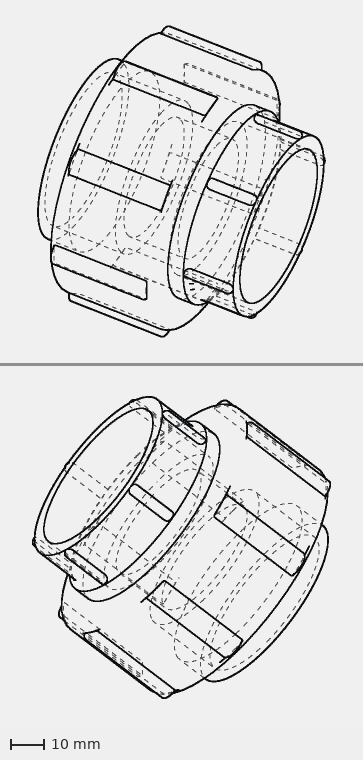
import cadquery as cq
import math

total_length = 67.0
nut_start = 10.6
nut_length = 35.1
nut_end = nut_start + nut_length
collar_end = 51.0

pipe_diameter = 58.6
collar_diameter = 62.9
nut_diameter = 84.2
socket_diameter = 50.0
bore_diameter = 39.0

socket_depth = 24.2

nut_edge_radius = 1.6
collar_root_radius = 2.0

grip_count = 8
grip_radius = 4.6
grip_tip_diameter = 88.96
grip_margin = 1.65
grip_end_radius = 0.5

pin_count = 6
pin_radius = 1.75
pin_tip_diameter = 62.2
pin_end_radius = 1.5


def cylinder_x(start, end, radius):
    """Cylinder along the X axis."""
    return cq.Workplane("YZ", origin=(start, 0, 0)).circle(radius).extrude(end - start)


def rib_ring(rib, count):
    """Copies of a rib spread evenly around the X axis, starting on the Y axis."""
    ring = cq.Workplane("YZ")
    for index in range(count):
        angle = index * 360.0 / count
        ring = ring.add(rib.rotate((0, 0, 0), (1, 0, 0), angle))
    return ring.combine()


def make_pipe():
    """Plain pipe running the full length."""
    return cylinder_x(0, total_length, pipe_diameter / 2)


def make_collar():
    """Collar behind the nut, with a concave fillet down to the pipe."""
    pipe_radius = pipe_diameter / 2
    fillet_top = pipe_radius + collar_root_radius
    sag = collar_root_radius * (1 - math.sqrt(0.5))
    profile = (
        cq.Workplane("XY")
        .moveTo(nut_end, 0)
        .lineTo(nut_end, collar_diameter / 2)
        .lineTo(collar_end, collar_diameter / 2)
        .lineTo(collar_end, fillet_top)
        .threePointArc(
            (collar_end + sag, pipe_radius + sag),
            (collar_end + collar_root_radius, pipe_radius),
        )
        .lineTo(collar_end + collar_root_radius, 0)
        .close()
    )
    return profile.revolve(360, (0, 0, 0), (1, 0, 0))


def make_nut():
    """Nut body with both rims rounded."""
    return cylinder_x(nut_start, nut_end, nut_diameter / 2).edges().fillet(nut_edge_radius)


def make_grips():
    """Rounded ribs along the nut, standing proud of its surface."""
    axis_offset = grip_tip_diameter / 2 - grip_radius
    rib = cylinder_x(nut_start + grip_margin, nut_end - grip_margin, grip_radius)
    rib = rib.edges().fillet(grip_end_radius).translate((0, axis_offset, 0))
    return rib_ring(rib, grip_count)


def make_pins():
    """Thin ribs from the collar to the pipe end, rounded at the free end."""
    axis_offset = pin_tip_diameter / 2 - pin_radius
    rib = cylinder_x(collar_end, total_length, pin_radius)
    rib = rib.faces(">X").edges().fillet(pin_end_radius).translate((0, axis_offset, 0))
    return rib_ring(rib, pin_count)


def make_bore():
    """Through bore with a wider socket at each end."""
    bore = cylinder_x(0, total_length, bore_diameter / 2)
    near_socket = cylinder_x(0, socket_depth, socket_diameter / 2)
    far_socket = cylinder_x(total_length - socket_depth, total_length, socket_diameter / 2)
    return bore.union(near_socket).union(far_socket)


body = make_pipe().union(make_collar()).union(make_nut())
body = body.union(make_grips()).union(make_pins())
result = body.cut(make_bore())